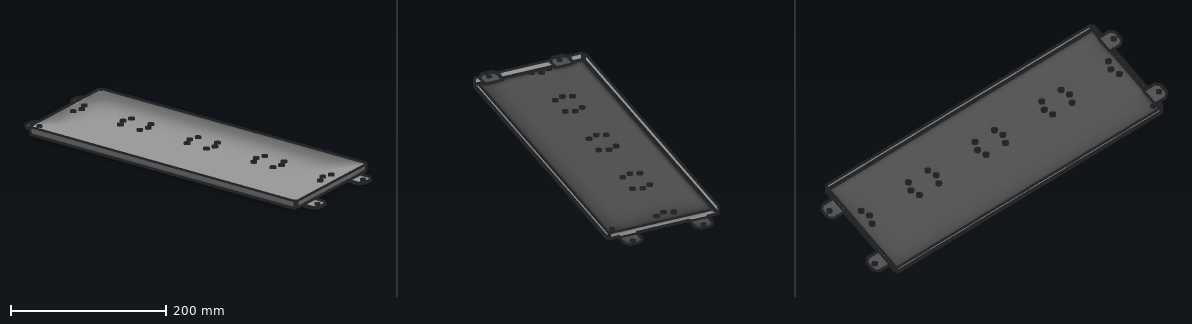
import cadquery as cq

overall_length = 466.0
tray_length = 425.0
tray_width = 157.0
height = 11.5
sheet = 2.0

corner_notch = 3.0
long_wall_lift = 1.0

foot_width = 25.0
foot_spacing = 99.5
foot_chamfer = 5.5
foot_hole_diameter = 5.0
foot_hole_inset = 7.5

hole_diameter = 6.0
group_pitch = 106.0
group_center_y = 9.0
middle_hole_offset = 20.0
outer_hole_offset_x = 15.5
outer_hole_offset_y = 12.0

corner_hole_diameter = 5.0
corner_hole_inset = 10.0

half_length = tray_length / 2
half_width = tray_width / 2
sides = (-1, 1)


def block(size_x, size_y, bottom, top):
    """Box centered on X and Y between two heights."""
    return cq.Workplane("XY").workplane(offset=bottom).rect(size_x, size_y).extrude(top - bottom)


def through_holes(points, diameter):
    return cq.Workplane("XY").pushPoints(points).circle(diameter / 2).extrude(height)


def make_tray():
    tray = block(tray_length, tray_width, height - sheet, height)
    long_wall = block(tray_length, sheet, long_wall_lift, height)
    short_wall = block(sheet, tray_width, sheet, height)
    for side in sides:
        tray = tray.union(long_wall.translate((0, side * (half_width - sheet / 2), 0)))
        tray = tray.union(short_wall.translate((side * (half_length - sheet / 2), 0, 0)))
    notches = (
        cq.Workplane("XY")
        .rect(tray_length, tray_width, forConstruction=True)
        .vertices()
        .rect(2 * corner_notch, 2 * corner_notch)
        .extrude(height)
    )
    return tray.cut(notches)


def make_foot(side, center_y):
    """Flat foot reaching from the inner face of the short wall to the part's end."""
    foot_length = overall_length / 2 - half_length + sheet
    outer_face = ">X" if side > 0 else "<X"
    center_x = side * (overall_length - foot_length) / 2
    foot = block(foot_length, foot_width, 0, sheet)
    foot = foot.faces(outer_face).edges("|Z").chamfer(foot_chamfer)
    return foot.translate((center_x, center_y, 0))


def half_group_points(center_x, side):
    outer_x = center_x + side * outer_hole_offset_x
    return [
        (outer_x, group_center_y + outer_hole_offset_y),
        (center_x + side * middle_hole_offset, group_center_y),
        (outer_x, group_center_y - outer_hole_offset_y),
    ]


result = make_tray()

foot_hole_points = []
for side in sides:
    for center_y in (-foot_spacing / 2, foot_spacing / 2):
        result = result.union(make_foot(side, center_y))
        foot_hole_points.append((side * (overall_length / 2 - foot_hole_inset), center_y))
result = result.cut(through_holes(foot_hole_points, foot_hole_diameter))

group_points = []
for group_index in (-1, 0, 1, 2):
    group_points += half_group_points(group_index * group_pitch, -1)
    group_points += half_group_points(-group_index * group_pitch, 1)
result = result.cut(through_holes(group_points, hole_diameter))

corner_hole_point = (corner_hole_inset - half_length, corner_hole_inset - half_width)
result = result.cut(through_holes([corner_hole_point], corner_hole_diameter))